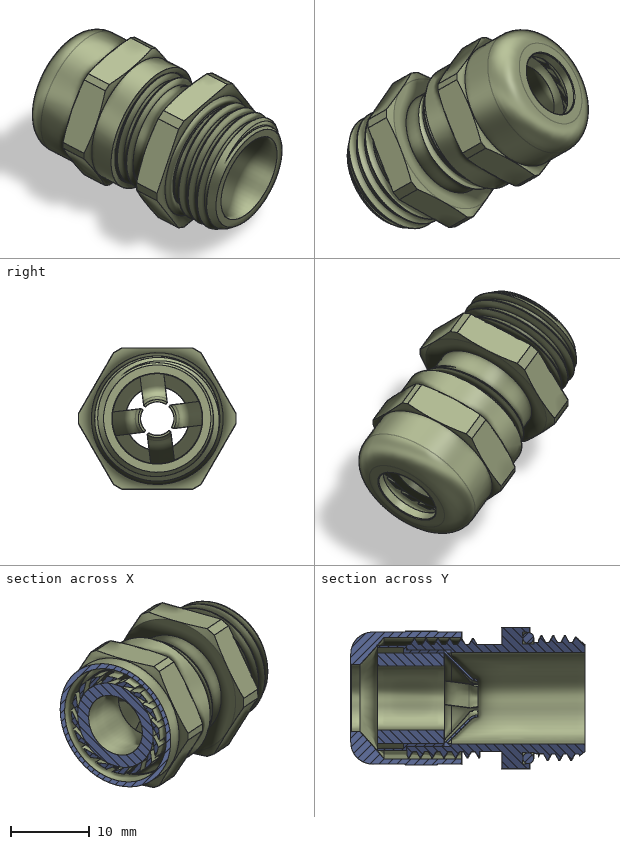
import cadquery as cq
import math

TOTAL_LENGTH = 29.8
TRIM_MARGIN = 0.3

CAP_DIAMETER = 16.87
CAP_LENGTH = 14.15
CAP_NOSE_RADIUS = 2.83
CAP_HOLE_DIAMETER = 8.5
CAP_HOLE_CHAMFER = 0.105
CAP_HOLE_LENGTH = 1.22
CAP_CONE_ANGLE = 48.5
CAP_BORE_DIAMETER = 15.38
CAP_HEX_START = 6.95
CAP_HEX_END = 11.03
CAP_HEX_FLATS = 17.05
CAP_HEX_CORNERS = 19.15
HEX_CHAMFER_SLOPE = 0.3

INSERT_FRONT = 3.43
INSERT_END = 11.92
SEAL_DIAMETER = 11.57
SEAL_HOLE_DIAMETER = 8.08
BASKET_HEAD_DIAMETER = 13.4
BASKET_SLOT_COUNT = 16
BASKET_SLOT_WIDTH = 0.55
BASKET_SLOT_OFFSET = 5.25
BASKET_SLOT_LENGTH = 3.28
BASKET_SLOT_TURN = -8.0

NIPPLE_FRONT = 7.15
NIPPLE_SEAT_DIAMETER = 12.35
NIPPLE_BORE_DIAMETER = 11.57
BARREL_DIAMETER = 13.65
NECK_DIAMETER = 14.22
NIPPLE_HEX_START = 19.2
NIPPLE_HEX_END = 22.8
NIPPLE_HEX_FLATS = 18.0
NIPPLE_HEX_CORNERS = 20.05
END_CHAMFER_LENGTH = 0.35
END_CHAMFER_DEPTH = 0.283

THREAD_PITCH = 1.5
THREAD_BASE_WIDTH = 1.05
THREAD_CREST_WIDTH = 0.12
THREAD_OVERLAP = 0.1
BARREL_THREAD_DIAMETER = 15.2
BARREL_THREAD_END = 16.45
BARREL_THREAD_PHASE = 16.35
NECK_THREAD_DIAMETER = 15.92
NECK_THREAD_START = 23.88
NECK_THREAD_PHASE = 25.05

ORING_INNER_DIAMETER = 13.9
ORING_SECTION = 1.43
ORING_END = 23.3

CONTACT_RING_INNER_DIAMETER = 11.45
CONTACT_RING_LENGTH = 0.9
CONTACT_THICKNESS = 0.3
CONTACT_THROAT_DIAMETER = 4.23
CONTACT_LIP_RADIUS = 1.6
CONTACT_FINGER_SLOPE = 45.0
CONTACT_FINGER_COUNT = 4
CONTACT_FINGER_WIDTH = 3.05
CONTACT_FINGER_GAP = 0.5
CONTACT_FINGER_TURN = 7.0


def revolve_about_x(profile):
    return profile.close().revolve(360, (0, 0, 0), (1, 0, 0))


def rod(start, end, diameter):
    return cq.Workplane("YZ", origin=(start, 0, 0)).circle(diameter / 2).extrude(end - start)


def hexagon(start, end, flats, corners, base_diameter, chamfer_both_ends):
    """Hexagon with corners on the Y axis, its corners cut flat and its ends chamfered by a cone."""
    def prism(width):
        across_points = width / math.cos(math.radians(30))
        return cq.Workplane("YZ", origin=(start, 0, 0)).polygon(6, across_points).extrude(end - start)

    blank = prism(flats).intersect(prism(corners).rotate((0, 0, 0), (1, 0, 0), 30))
    base_radius = base_diameter / 2
    outer_radius = corners / 2 + TRIM_MARGIN
    chamfer = (outer_radius - base_radius) * HEX_CHAMFER_SLOPE
    envelope = cq.Workplane("XY").moveTo(start, 0).lineTo(start, base_radius)
    envelope = envelope.lineTo(start + chamfer, outer_radius)
    if chamfer_both_ends:
        envelope = envelope.lineTo(end - chamfer, outer_radius).lineTo(end, base_radius)
    else:
        envelope = envelope.lineTo(end, outer_radius)
    return blank.intersect(revolve_about_x(envelope.lineTo(end, 0)))


def thread_ridge(root_diameter, crest_diameter, phase, start, end):
    """Right-handed ridge that covers X from start to end, to be trimmed there."""
    turns_before = math.ceil((phase - start) / THREAD_PITCH) + 1
    turns_after = math.ceil((end - phase) / THREAD_PITCH) + 1
    length = (turns_before + turns_after) * THREAD_PITCH
    root = root_diameter / 2
    crest = crest_diameter / 2
    flank_slope = (THREAD_BASE_WIDTH - THREAD_CREST_WIDTH) / 2 / (crest - root)
    half_base = THREAD_BASE_WIDTH / 2 + THREAD_OVERLAP * flank_slope
    half_crest = THREAD_CREST_WIDTH / 2
    section = cq.Workplane("XZ").polyline([
        (root - THREAD_OVERLAP, -half_base),
        (crest, -half_crest),
        (crest, half_crest),
        (root - THREAD_OVERLAP, half_base),
    ]).close()
    path = cq.Workplane(cq.Wire.makeHelix(THREAD_PITCH, length, root))
    ridge = section.sweep(path, isFrenet=True)
    ridge = ridge.rotate((0, 0, 0), (0, 1, 0), 90)
    return ridge.translate((phase - turns_before * THREAD_PITCH, 0, 0))


def make_cap():
    radius = CAP_DIAMETER / 2
    hole = CAP_HOLE_DIAMETER / 2
    bore = CAP_BORE_DIAMETER / 2
    cone_length = (bore - hole) / math.tan(math.radians(CAP_CONE_ANGLE))
    nose_mid = CAP_NOSE_RADIUS * (1 - math.sqrt(0.5))
    profile = (
        cq.Workplane("XY")
        .moveTo(CAP_HOLE_CHAMFER, hole)
        .lineTo(0, hole + CAP_HOLE_CHAMFER)
        .lineTo(0, radius - CAP_NOSE_RADIUS)
        .threePointArc((nose_mid, radius - nose_mid), (CAP_NOSE_RADIUS, radius))
        .lineTo(CAP_LENGTH, radius)
        .lineTo(CAP_LENGTH, bore)
        .lineTo(CAP_HOLE_LENGTH + cone_length, bore)
        .lineTo(CAP_HOLE_LENGTH, hole)
    )
    grip = hexagon(CAP_HEX_START, CAP_HEX_END, CAP_HEX_FLATS, CAP_HEX_CORNERS, CAP_DIAMETER, True)
    grip = grip.cut(rod(CAP_HEX_START, CAP_HEX_END, CAP_BORE_DIAMETER))
    return revolve_about_x(profile).union(grip)


def make_seal():
    blank = rod(INSERT_FRONT, INSERT_END, SEAL_DIAMETER)
    return blank.cut(rod(INSERT_FRONT, INSERT_END, SEAL_HOLE_DIAMETER))


def make_basket():
    head = rod(INSERT_FRONT, NIPPLE_FRONT, BASKET_HEAD_DIAMETER)
    shank = rod(NIPPLE_FRONT, INSERT_END, NIPPLE_SEAT_DIAMETER)
    basket = head.union(shank).cut(rod(INSERT_FRONT, INSERT_END, SEAL_DIAMETER))
    slot = cq.Workplane("XY").box(
        BASKET_SLOT_LENGTH, BASKET_SLOT_WIDTH, BASKET_HEAD_DIAMETER / 2, centered=(False, True, False)
    ).translate((INSERT_FRONT, BASKET_SLOT_OFFSET, 0))
    for index in range(BASKET_SLOT_COUNT):
        turn = BASKET_SLOT_TURN + index * 360 / BASKET_SLOT_COUNT
        basket = basket.cut(slot.rotate((0, 0, 0), (1, 0, 0), turn))
    return basket


def make_contact():
    ring_start = INSERT_END
    ring_end = INSERT_END + CONTACT_RING_LENGTH
    slope = math.radians(CONTACT_FINGER_SLOPE)
    throat = CONTACT_THROAT_DIAMETER / 2
    lip_centre_radius = throat + CONTACT_LIP_RADIUS
    ring_inner = CONTACT_RING_INNER_DIAMETER / 2

    cone_end_radius = lip_centre_radius - CONTACT_LIP_RADIUS * math.cos(slope)
    cone_end = ring_start + (ring_inner - cone_end_radius) / math.tan(slope)
    lip_centre = cone_end + CONTACT_LIP_RADIUS * math.sin(slope)

    def lip_point(radius, angle):
        return lip_centre - radius * math.sin(angle), lip_centre_radius - radius * math.cos(angle)

    back_radius = CONTACT_LIP_RADIUS - CONTACT_THICKNESS
    sheet = (
        cq.Workplane("XY")
        .moveTo(ring_start, ring_inner)
        .lineTo(*lip_point(CONTACT_LIP_RADIUS, slope))
        .threePointArc(lip_point(CONTACT_LIP_RADIUS, slope / 2), lip_point(CONTACT_LIP_RADIUS, 0))
        .lineTo(*lip_point(back_radius, 0))
        .threePointArc(lip_point(back_radius, slope / 2), lip_point(back_radius, slope))
        .lineTo(ring_start, ring_inner + CONTACT_THICKNESS / math.cos(slope))
    )
    cone = revolve_about_x(sheet)
    contact = rod(ring_start, ring_end, NIPPLE_SEAT_DIAMETER).cut(rod(ring_start, ring_end, 2 * ring_inner))

    def axial_bar(width):
        bar = cq.Workplane("XY").box(
            lip_centre - ring_start, NIPPLE_SEAT_DIAMETER / 2, width, centered=(False, False, True)
        )
        return bar.translate((ring_start, 0, 0))

    step = 360 / CONTACT_FINGER_COUNT
    gap = axial_bar(CONTACT_FINGER_GAP)
    finger = cone.intersect(axial_bar(CONTACT_FINGER_WIDTH))
    for side in (-1, 1):
        finger = finger.cut(gap.rotate((0, 0, 0), (1, 0, 0), side * step / 2))
    for index in range(CONTACT_FINGER_COUNT):
        contact = contact.union(finger.rotate((0, 0, 0), (1, 0, 0), CONTACT_FINGER_TURN + index * step))
    return contact


def make_oring():
    section_radius = ORING_SECTION / 2
    centre = (ORING_END - section_radius, ORING_INNER_DIAMETER / 2 + section_radius)
    return cq.Workplane("XY").center(*centre).circle(section_radius).revolve(
        360, (-centre[0], -centre[1], 0), (0.3 - centre[0], -centre[1], 0)
    )


def make_nipple():
    end_radius = NECK_DIAMETER / 2 - END_CHAMFER_DEPTH
    limit_radius = NECK_THREAD_DIAMETER / 2 + TRIM_MARGIN
    limit_length = (limit_radius - end_radius) * END_CHAMFER_LENGTH / END_CHAMFER_DEPTH

    barrel = rod(NIPPLE_FRONT, NIPPLE_HEX_END, BARREL_DIAMETER)
    ridge = thread_ridge(
        BARREL_DIAMETER, BARREL_THREAD_DIAMETER, BARREL_THREAD_PHASE, NIPPLE_FRONT, BARREL_THREAD_END
    )
    barrel_limits = rod(NIPPLE_FRONT, BARREL_THREAD_END, CAP_BORE_DIAMETER)
    barrel = barrel.union(ridge.intersect(barrel_limits))

    ridge = thread_ridge(
        NECK_DIAMETER, NECK_THREAD_DIAMETER, NECK_THREAD_PHASE, NECK_THREAD_START, TOTAL_LENGTH
    )
    ridge_end = TOTAL_LENGTH + THREAD_PITCH / 2
    ridge = ridge.intersect(rod(NECK_THREAD_START, ridge_end, 2 * limit_radius))
    neck = rod(NIPPLE_HEX_START, TOTAL_LENGTH + THREAD_PITCH, NECK_DIAMETER)
    neck = neck.rotate((0, 0, 0), (1, 0, 0), 90).union(ridge)
    neck = neck.intersect(revolve_about_x(
        cq.Workplane("XY").moveTo(NIPPLE_HEX_START, 0).lineTo(NIPPLE_HEX_START, limit_radius)
        .lineTo(TOTAL_LENGTH - limit_length, limit_radius)
        .lineTo(TOTAL_LENGTH, end_radius).lineTo(TOTAL_LENGTH, 0)
    ))

    grip = hexagon(
        NIPPLE_HEX_START, NIPPLE_HEX_END, NIPPLE_HEX_FLATS, NIPPLE_HEX_CORNERS, NIPPLE_HEX_FLATS, False
    )
    nipple = barrel.union(grip).union(neck)

    groove_start = ORING_END - ORING_SECTION
    groove_outer = ORING_INNER_DIAMETER + 2 * ORING_SECTION
    groove = rod(groove_start, ORING_END, groove_outer).cut(
        rod(groove_start, ORING_END, ORING_INNER_DIAMETER)
    )
    nipple = nipple.cut(groove)
    nipple = nipple.cut(rod(NIPPLE_FRONT, TOTAL_LENGTH, NIPPLE_BORE_DIAMETER))
    return nipple.cut(rod(NIPPLE_FRONT, INSERT_END + CONTACT_RING_LENGTH, NIPPLE_SEAT_DIAMETER))


cap = make_cap()
seal = make_seal()
basket = make_basket()
contact = make_contact()
oring = make_oring()
nipple = make_nipple()

bodies = [cap, seal, basket, contact, oring, nipple]
result = cq.Compound.makeCompound([body.solids().val() for body in bodies])